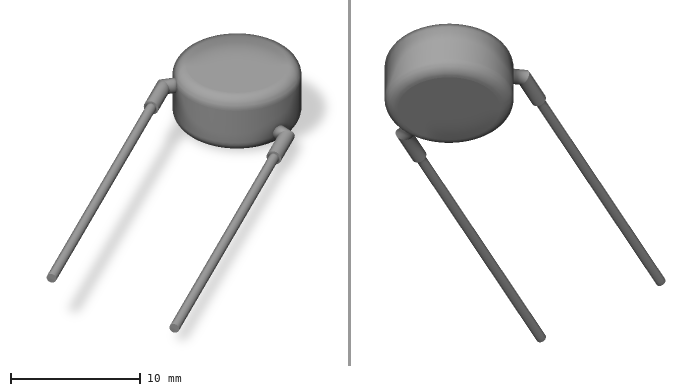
import cadquery as cq
import math

disc_diameter = 10.0
disc_height = 5.0
rim_radius = 1.0

lead_spacing = disc_diameter
lead_height_offset = 1.3
wire_diameter = 0.8
total_length = 36.12

sleeve_diameter = 1.2
sleeve_end_y = -6.15
arm_angle = 31.5

disc_radius = disc_diameter / 2
lead_x = lead_spacing / 2
bend_y = -lead_x * math.tan(math.radians(arm_angle))
wire_end_y = disc_radius - total_length
arm_root = 0.5


def make_disc():
    """Short cylinder with both rims rounded."""
    return cq.Workplane("XY").cylinder(disc_height, disc_radius).edges("%CIRCLE").fillet(rim_radius)


def make_sleeve(side):
    """Bent arm with a mitred corner, rooted inside the disc; side is -1 or +1 along X."""
    z = -side * lead_height_offset
    root = cq.Vector(side * lead_x * arm_root, bend_y * arm_root, z)
    bend = cq.Vector(side * lead_x, bend_y, z)
    end = cq.Vector(side * lead_x, sleeve_end_y, z)
    path = cq.Workplane("XY").add(cq.Wire.makePolygon([end, bend, root])).toPending()
    return (
        cq.Workplane(cq.Plane(origin=end.toTuple(), normal=(0, 1, 0)))
        .circle(sleeve_diameter / 2)
        .sweep(path, transition="right")
    )


def make_housing():
    """Disc and the two arms as one continuous coating."""
    housing = make_disc()
    for side in (-1, 1):
        housing = housing.union(make_sleeve(side))
    return housing


def make_wire(side):
    """Straight wire from the sleeve end to the free end."""
    start = (side * lead_x, sleeve_end_y, -side * lead_height_offset)
    return (
        cq.Workplane(cq.Plane(origin=start, normal=(0, -1, 0)))
        .circle(wire_diameter / 2)
        .extrude(sleeve_end_y - wire_end_y)
    )


housing = make_housing()
wires = [make_wire(side).val() for side in (-1, 1)]

result = cq.Compound.makeCompound([housing.val(), *wires])